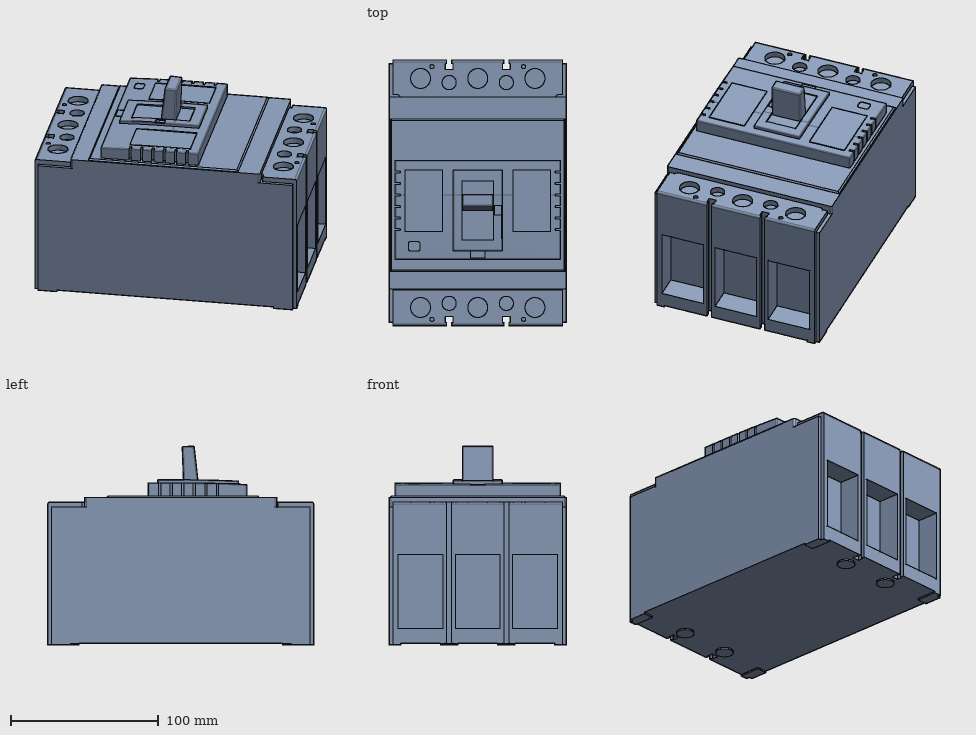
import cadquery as cq
import math

WIDTH = 120.0
LENGTH = 180.0
HEIGHT = 134.59
POLE_PITCH = 38.7

FOOT_HEIGHT = 1.1
SIDE_PLATE = 2.5
SIDE_SETBACK = 2.5
SIDE_TOP = 93.3
TERMINAL_TOP = 96.7
TERMINAL_EDGE_FILLET = 1.4
LID_TOP = 99.8
LID_LENGTH = 130.0
LID_CORNER_FILLET = 1.2
LID_NOTCH_LENGTH = 1.7
LID_NOTCH_WIDTH = 5.2
FRONT_GROOVE_WIDTH = 0.6

PANEL_WIDTH = 118.4
PANEL_BACK = 50.0
PANEL_FRONT = -53.0
PANEL_TOP = 100.9
PANEL_CHAMFER = 1.0

CONSOLE_WIDTH = 112.0
CONSOLE_BACK = 22.1
CONSOLE_FRONT = -44.9
CONSOLE_TOP = 109.7
CREST_Y = -1.5
CREST_RADIUS = 785.0
CONSOLE_EDGE_FILLET = 0.6

VENT_COUNT = 6
VENT_PITCH = 7.8
VENT_FIRST_Y = 14.2
VENT_WIDTH = 1.5
VENT_REACH = 3.6

LABEL_INNER_X = 23.7
LABEL_OUTER_X = 49.3
LABEL_BACK = 15.4
LABEL_FRONT = -26.2
LABEL_FLOOR = CONSOLE_TOP - 0.6

TEST_BUTTON_X = -43.0
TEST_BUTTON_Y = -36.1
TEST_BUTTON_SIZE = (8.0, 6.4)
TEST_BUTTON_RADIUS = 1.6
TEST_BUTTON_TOP = 109.2

FRAME_WIDTH = 33.2
FRAME_BACK = 15.6
FRAME_FRONT = -39.2
FRAME_TOP = 111.8
FRAME_EDGE_FILLET = 0.5
WINDOW_WIDTH = 21.3
WINDOW_BACK = 8.0
WINDOW_FRONT = -31.8
WINDOW_DEPTH = 0.6
TRIP_X = 13.8
TRIP_Y = -11.6
TRIP_SIZE = (4.6, 6.4)
TRIP_DEPTH = 0.8
LATCH_WIDTH = 9.8
LATCH_FRONT = -44.0
LATCH_DEPTH = 0.5

TOGGLE_WIDTH = 20.8
TOGGLE_BASE_BACK = -1.8
TOGGLE_BASE_FRONT = -11.9
TOGGLE_TOP_BACK = -0.9
TOGGLE_TOP_FRONT = -9.1
TOGGLE_TOP_DROP = 0.4
TOGGLE_FILLET = 0.9

POCKET_WIDTH = 30.2
POCKET_BOTTOM = 11.1
POCKET_TOP = 61.2
POCKET_DEPTH = 16.2
TERMINAL_HOLE_DIAMETER = 13.5
TERMINAL_HOLE_Y = 77.5
TERMINAL_HOLE_DEPTH = 4.0
MOUNT_HOLE_DIAMETER = 9.6
MOUNT_HOLE_Y = 74.7
MOUNT_HOLE_DEPTH = 4.0
PROBE_HOLE_X = 31.0
PROBE_HOLE_Y = 85.5
PROBE_HOLE_DIAMETER = 2.8
PROBE_HOLE_DEPTH = 2.0

SLOT_NECK_WIDTH = 3.3
SLOT_HEAD_WIDTH = 5.1
SLOT_NECK_DEPTH = 2.5
SLOT_DEPTH = 6.3

CORNER_FOOT_WIDTH = 7.9
CORNER_FOOT_LENGTH = 15.6
ROUND_FOOT_DIAMETER = 12.0

BOTH_ENDS = (-1, 1)
BOTH_SIDES = (-1, 1)
BARRIER_X = (-POLE_PITCH / 2, POLE_PITCH / 2)
POLE_X = (-POLE_PITCH, 0.0, POLE_PITCH)


def box(x0, x1, y0, y1, z0, z1):
    """Block between opposite corners, given in any order."""
    size = (abs(x1 - x0), abs(y1 - y0), abs(z1 - z0))
    corner = (min(x0, x1), min(y0, y1), min(z0, z1))
    return cq.Workplane("XY").box(*size, centered=False).translate(corner)


def cylinder(x, y, diameter, z0, z1):
    return cq.Workplane("XY").workplane(offset=z0).center(x, y).circle(diameter / 2).extrude(z1 - z0)


def crest_drop(y, rise=0.0):
    """Drop of the console arc at y, for a surface lying `rise` above the console top."""
    radius = CREST_RADIUS + rise
    run = max(0.0, CREST_Y - y)
    return radius - math.sqrt(radius**2 - run**2)


def crowned_block(width, back, front, floor, top):
    """Block whose top is flat behind the crest line and arcs down in front of it."""
    rise = top - CONSOLE_TOP
    middle = (CREST_Y + front) / 2
    return (
        cq.Workplane("YZ")
        .workplane(offset=-width / 2)
        .moveTo(front, floor)
        .lineTo(back, floor)
        .lineTo(back, top)
        .lineTo(CREST_Y, top)
        .threePointArc((middle, top - crest_drop(middle, rise)), (front, top - crest_drop(front, rise)))
        .close()
        .extrude(width)
    )


def round_edges(block, floor, radius):
    """Fillet every edge of a crowned block except its base and the smooth crest line."""
    crest = cq.selectors.BoxSelector(
        (-WIDTH, CREST_Y - radius / 2, floor), (WIDTH, CREST_Y + radius / 2, HEIGHT)
    )
    return block.edges("not <Z").edges(cq.selectors.InverseSelector(crest)).fillet(radius)


def housing():
    half_x = WIDTH / 2
    half_y = LENGTH / 2
    core_x = half_x - SIDE_PLATE
    side_y = half_y - SIDE_SETBACK
    core = box(-core_x, core_x, -half_y, half_y, FOOT_HEIGHT, TERMINAL_TOP)
    core = core.faces("<Y or >Y").edges(">Z").fillet(TERMINAL_EDGE_FILLET)
    sides = box(-half_x, half_x, -side_y, side_y, FOOT_HEIGHT, SIDE_TOP)
    lid = box(-half_x, half_x, -LID_LENGTH / 2, LID_LENGTH / 2, SIDE_TOP, LID_TOP)
    lid = lid.edges("|Z").fillet(LID_CORNER_FILLET)
    return core.union(sides).union(lid)


def rear_lid_notches():
    """Bevelled corner notches in the terminal deck where it meets the rear of the lid."""
    outer = WIDTH / 2 - SIDE_PLATE
    inner = outer - LID_NOTCH_WIDTH
    y0 = LID_LENGTH / 2
    y1 = y0 + LID_NOTCH_LENGTH
    corner = (
        cq.Workplane("XY")
        .workplane(offset=SIDE_TOP)
        .polyline([(outer, y0), (inner, y0), (inner + LID_NOTCH_LENGTH, y1), (outer, y1)])
        .close()
        .extrude(TERMINAL_TOP - SIDE_TOP)
    )
    return corner.union(corner.mirror("YZ"))


def front_lid_groove():
    """Narrow gap between the front wall of the lid and the terminal deck."""
    half_x = WIDTH / 2
    lid_front = -LID_LENGTH / 2
    return box(-half_x, half_x, lid_front - FRONT_GROOVE_WIDTH, lid_front, SIDE_TOP, TERMINAL_TOP)


def feet():
    half_x = WIDTH / 2
    half_y = LENGTH / 2
    outer_x = half_x - SIDE_PLATE
    side_y = half_y - SIDE_SETBACK
    inner_x = half_x - CORNER_FOOT_WIDTH
    inner_y = half_y - CORNER_FOOT_LENGTH
    solids = cq.Workplane("XY")
    for end in BOTH_ENDS:
        for side in BOTH_SIDES:
            under_core = box(side * inner_x, side * outer_x, end * inner_y, end * half_y, 0, FOOT_HEIGHT)
            under_side = box(side * inner_x, side * half_x, end * inner_y, end * side_y, 0, FOOT_HEIGHT)
            solids = solids.union(under_core).union(under_side)
        for x in BARRIER_X:
            solids = solids.union(cylinder(x, end * MOUNT_HOLE_Y, ROUND_FOOT_DIAMETER, 0, FOOT_HEIGHT))
    return solids


def terminal_cuts(end):
    """Pockets, deck holes and barrier slots at the -Y (end = -1) or +Y (end = 1) terminals."""
    face_y = end * LENGTH / 2
    half_pocket = POCKET_WIDTH / 2
    cuts = cq.Workplane("XY")
    for x in POLE_X:
        back_y = face_y - end * POCKET_DEPTH
        cuts = cuts.union(box(x - half_pocket, x + half_pocket, face_y, back_y, POCKET_BOTTOM, POCKET_TOP))
        hole_bottom = TERMINAL_TOP - TERMINAL_HOLE_DEPTH
        cuts = cuts.union(cylinder(x, end * TERMINAL_HOLE_Y, TERMINAL_HOLE_DIAMETER, hole_bottom, TERMINAL_TOP))
    for x in BARRIER_X:
        hole_bottom = TERMINAL_TOP - MOUNT_HOLE_DEPTH
        cuts = cuts.union(cylinder(x, end * MOUNT_HOLE_Y, MOUNT_HOLE_DIAMETER, hole_bottom, TERMINAL_TOP))
        half_neck = SLOT_NECK_WIDTH / 2
        half_head = SLOT_HEAD_WIDTH / 2
        head_y = face_y - end * SLOT_NECK_DEPTH
        floor_y = face_y - end * SLOT_DEPTH
        cuts = cuts.union(box(x - half_neck, x + half_neck, face_y, head_y, 0, TERMINAL_TOP))
        cuts = cuts.union(box(x - half_head, x + half_head, head_y, floor_y, 0, TERMINAL_TOP))
    for x in (-PROBE_HOLE_X, PROBE_HOLE_X):
        hole_bottom = TERMINAL_TOP - PROBE_HOLE_DEPTH
        cuts = cuts.union(cylinder(x, end * PROBE_HOLE_Y, PROBE_HOLE_DIAMETER, hole_bottom, TERMINAL_TOP))
    return cuts


def panel():
    slab = box(-PANEL_WIDTH / 2, PANEL_WIDTH / 2, PANEL_FRONT, PANEL_BACK, LID_TOP, PANEL_TOP)
    return slab.faces(">Z").chamfer(PANEL_CHAMFER)


def vents():
    """Round-ended vertical grooves down both flanks of the console."""
    half_x = CONSOLE_WIDTH / 2
    end_x = half_x - VENT_REACH + VENT_WIDTH / 2
    cuts = cq.Workplane("XY")
    for index in range(VENT_COUNT):
        y = VENT_FIRST_Y - index * VENT_PITCH
        for side in BOTH_SIDES:
            front = y - VENT_WIDTH / 2
            back = y + VENT_WIDTH / 2
            groove = box(side * end_x, side * half_x, front, back, PANEL_TOP, CONSOLE_TOP)
            cuts = cuts.union(groove)
            cuts = cuts.union(cylinder(side * end_x, y, VENT_WIDTH, PANEL_TOP, CONSOLE_TOP))
    return cuts


def console():
    body = crowned_block(CONSOLE_WIDTH, CONSOLE_BACK, CONSOLE_FRONT, PANEL_TOP, CONSOLE_TOP)
    body = round_edges(body, PANEL_TOP, CONSOLE_EDGE_FILLET)
    body = body.cut(vents())
    for side in BOTH_SIDES:
        label = box(side * LABEL_INNER_X, side * LABEL_OUTER_X, LABEL_FRONT, LABEL_BACK, LABEL_FLOOR, CONSOLE_TOP)
        body = body.cut(label)
    latch_floor = CONSOLE_TOP - crest_drop(FRAME_FRONT) - LATCH_DEPTH
    body = body.cut(
        box(-LATCH_WIDTH / 2, LATCH_WIDTH / 2, LATCH_FRONT, FRAME_FRONT, latch_floor, CONSOLE_TOP)
    )
    button = (
        box(0, TEST_BUTTON_SIZE[0], 0, TEST_BUTTON_SIZE[1], PANEL_TOP, TEST_BUTTON_TOP)
        .edges("|Z")
        .fillet(TEST_BUTTON_RADIUS)
        .translate((TEST_BUTTON_X - TEST_BUTTON_SIZE[0] / 2, TEST_BUTTON_Y - TEST_BUTTON_SIZE[1] / 2, 0))
    )
    return body.union(button)


def escutcheon():
    frame = crowned_block(FRAME_WIDTH, FRAME_BACK, FRAME_FRONT, PANEL_TOP, FRAME_TOP)
    frame = round_edges(frame, PANEL_TOP, FRAME_EDGE_FILLET)
    window_floor = FRAME_TOP - crest_drop(WINDOW_FRONT) - WINDOW_DEPTH
    half_window = WINDOW_WIDTH / 2
    frame = frame.cut(box(-half_window, half_window, WINDOW_FRONT, WINDOW_BACK, window_floor, FRAME_TOP))
    trip_floor = FRAME_TOP - TRIP_DEPTH
    half_trip_x = TRIP_SIZE[0] / 2
    half_trip_y = TRIP_SIZE[1] / 2
    return frame.cut(
        box(TRIP_X - half_trip_x, TRIP_X + half_trip_x, TRIP_Y - half_trip_y, TRIP_Y + half_trip_y,
            trip_floor, FRAME_TOP)
    )


def toggle():
    """Tapered rounded lever, lifted so that its rounded tip reaches the full height."""
    root = CONSOLE_TOP
    profile = [
        (TOGGLE_BASE_BACK, root),
        (TOGGLE_TOP_BACK, HEIGHT - TOGGLE_TOP_DROP),
        (TOGGLE_TOP_FRONT, HEIGHT),
        (TOGGLE_BASE_FRONT, root),
    ]
    side_plane = cq.Workplane("YZ").workplane(offset=-TOGGLE_WIDTH / 2)
    lever = side_plane.polyline(profile).close().extrude(TOGGLE_WIDTH)
    lever = lever.edges().fillet(TOGGLE_FILLET)
    tip = lever.val().BoundingBox().zmax
    return lever.translate((0, 0, HEIGHT - tip))


body = housing().cut(rear_lid_notches()).cut(front_lid_groove()).union(feet())
for end in BOTH_ENDS:
    body = body.cut(terminal_cuts(end))
result = body.union(panel()).union(console()).union(escutcheon()).union(toggle())